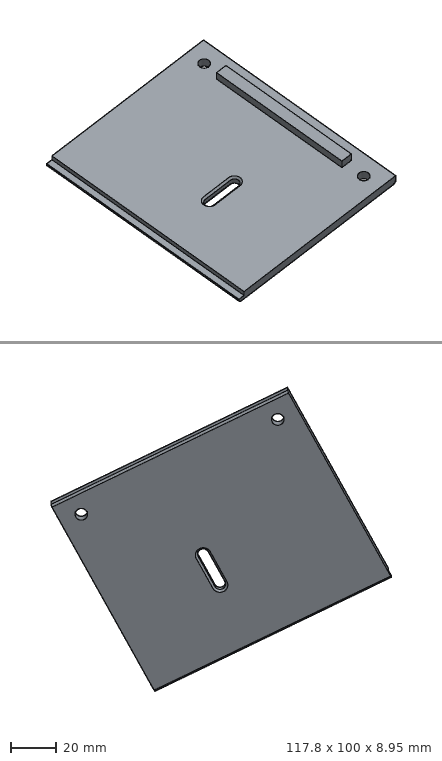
import cadquery as cq

PLATE_WIDTH = 117.83
PLATE_LENGTH = 100.0
PLATE_THICKNESS = 4.75
TOTAL_HEIGHT = 8.95
EDGE_CHAMFER = 1.0

LIP_DEPTH = 3.25
LIP_THICKNESS = 2.25

HOLE_DIAMETER = 5.5
HOLE_EDGE_DISTANCE = 10.0
HOLE_SPACING = PLATE_WIDTH - 2 * HOLE_EDGE_DISTANCE
HOLE_Y = PLATE_LENGTH / 2 - HOLE_EDGE_DISTANCE
HOLE_TO_RAIL_DISTANCE = 10.5
RAIL_WIDTH = HOLE_SPACING - 2 * HOLE_TO_RAIL_DISTANCE
RAIL_DEPTH = 6.0
RAIL_HEIGHT = TOTAL_HEIGHT - PLATE_THICKNESS

SLOT_X = 10.0
SLOT_Y = -10.0
SLOT_CENTRE_DISTANCE = 16.0
SLOT_NARROW_WIDTH = 5.0
SLOT_COUNTERSINK = 1.0


def make_plate():
    """Plate with a lip on the front edge and chamfered lower front and back edges."""
    front = -PLATE_LENGTH / 2
    back = PLATE_LENGTH / 2
    profile = [
        (front + EDGE_CHAMFER, 0),
        (back - EDGE_CHAMFER, 0),
        (back, EDGE_CHAMFER),
        (back, PLATE_THICKNESS),
        (front + LIP_DEPTH, PLATE_THICKNESS),
        (front + LIP_DEPTH, LIP_THICKNESS),
        (front, LIP_THICKNESS),
        (front, EDGE_CHAMFER),
    ]
    return cq.Workplane("YZ").polyline(profile).close().extrude(PLATE_WIDTH / 2, both=True)


def make_rail():
    """Raised bar standing on the upper face, in line with the mounting holes."""
    return (
        cq.Workplane("XY", origin=(0, HOLE_Y, PLATE_THICKNESS))
        .rect(RAIL_WIDTH, RAIL_DEPTH)
        .extrude(RAIL_HEIGHT)
    )


def make_mounting_holes():
    """Cutters for the two through holes."""
    return (
        cq.Workplane("XY", origin=(0, HOLE_Y, 0))
        .pushPoints([(-HOLE_SPACING / 2, 0), (HOLE_SPACING / 2, 0)])
        .circle(HOLE_DIAMETER / 2)
        .extrude(PLATE_THICKNESS)
    )


def make_slot():
    """Cutter for the through slot, with a 45 degree countersink at each face."""
    narrow_length = SLOT_CENTRE_DISTANCE + SLOT_NARROW_WIDTH
    wide_width = SLOT_NARROW_WIDTH + 2 * SLOT_COUNTERSINK
    wide_length = SLOT_CENTRE_DISTANCE + wide_width
    cutter = (
        cq.Workplane("XY", origin=(SLOT_X, SLOT_Y, 0))
        .slot2D(narrow_length, SLOT_NARROW_WIDTH, 90)
        .extrude(PLATE_THICKNESS)
    )
    for face_z, inward in [(0, 1), (PLATE_THICKNESS, -1)]:
        countersink = (
            cq.Workplane("XY", origin=(SLOT_X, SLOT_Y, face_z))
            .slot2D(wide_length, wide_width, 90)
            .workplane(offset=inward * SLOT_COUNTERSINK)
            .slot2D(narrow_length, SLOT_NARROW_WIDTH, 90)
            .loft(ruled=True)
        )
        cutter = cutter.union(countersink)
    return cutter


result = make_plate().union(make_rail()).cut(make_mounting_holes()).cut(make_slot())